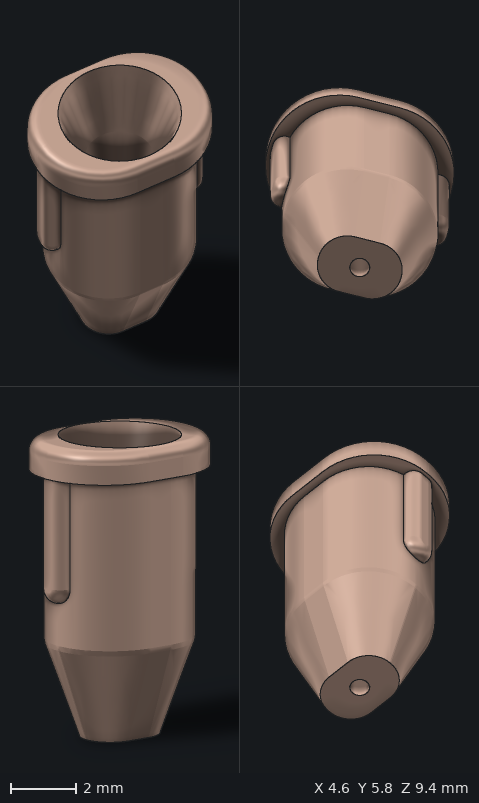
import cadquery as cq
import math

total_height = 9.4
flange_width = 4.6
flange_length = 5.8
flange_corner = 2.25
flange_height = 1.0
flange_edge_radius = 0.4

body_width = 4.05
body_length = 4.8
body_corner = 2.0
nose_height = 3.01
nose_angle = 20.0
nose_blend_radius = 0.5

rib_span = 5.57
rib_width = 1.0
rib_bottom = 4.45
rib_edge_radius = 0.36

mouth_diameter = 3.78
throat_diameter = 2.15
outlet_diameter = 0.6
mouth_half_angle = 20.0

flange_bottom = total_height - flange_height


def rounded_rectangle(width, length, corner):
    return cq.Sketch().rect(width, length).vertices().fillet(corner)


def make_flange():
    profile = rounded_rectangle(flange_width, flange_length, flange_corner)
    flange = cq.Workplane("XY").workplane(offset=flange_bottom).placeSketch(profile).extrude(flange_height)
    return flange.faces(">Z").edges().fillet(flange_edge_radius)


def make_body():
    profile = rounded_rectangle(body_width, body_length, body_corner)
    start = cq.Workplane("XY").workplane(offset=nose_height).placeSketch(profile)
    barrel = start.extrude(flange_bottom - nose_height)
    nose = start.extrude(-nose_height, taper=nose_angle)
    margin = 0.01
    shoulder = cq.selectors.BoxSelector(
        (-body_width, -body_length, nose_height - margin),
        (body_width, body_length, nose_height + margin),
    )
    return barrel.union(nose).edges(shoulder).fillet(nose_blend_radius)


def make_ribs():
    """One bar through the body, rounded at the bottom, forms both ribs."""
    radius = rib_width / 2
    bar = (
        cq.Workplane("XZ")
        .moveTo(-radius, flange_bottom)
        .lineTo(-radius, rib_bottom + radius)
        .threePointArc((0, rib_bottom), (radius, rib_bottom + radius))
        .lineTo(radius, flange_bottom)
        .close()
        .extrude(rib_span / 2, both=True)
    )
    outer_edges = bar.faces("<Y or >Y").edges("not(>Z)")
    return outer_edges.fillet(rib_edge_radius)


def make_bore():
    mouth_step = (mouth_diameter - throat_diameter) / 2
    throat_z = total_height - mouth_step / math.tan(math.radians(mouth_half_angle))
    return (
        cq.Workplane("YZ")
        .polyline([
            (0, 0),
            (outlet_diameter / 2, 0),
            (throat_diameter / 2, throat_z),
            (mouth_diameter / 2, total_height),
            (0, total_height),
        ])
        .close()
        .revolve(360, (0, 0, 0), (0, 1, 0))
    )


result = make_body().union(make_ribs()).union(make_flange()).cut(make_bore())